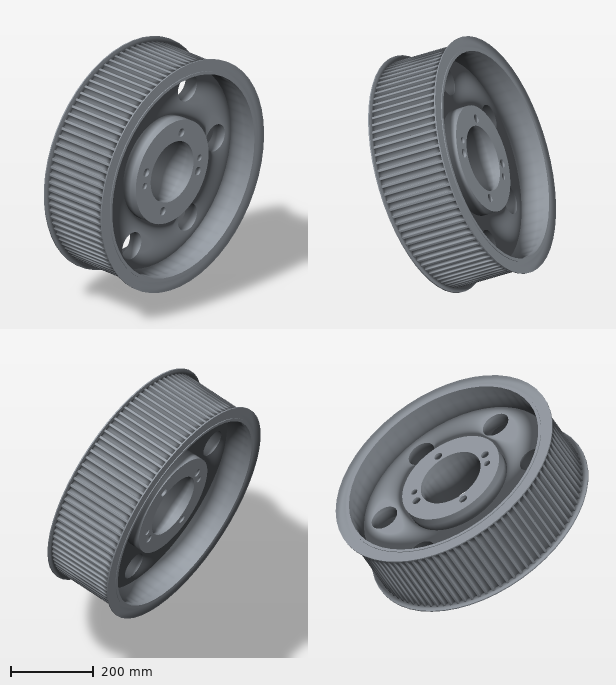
import cadquery as cq
import math

rim_width = 190.5
flange_radius = 297.5

flange_thickness = 3.0
flange_inset = 2.0
flange_seat_radius = 268.0

tooth_count = 90
tooth_tip_radius = 284.5
groove_radius = 6.5
groove_depth = 9.0
tip_corner_radius = 1.0
rim_inner_radius = 260.0

web_thickness = 37.0
hub_length = 118.0
hub_radius = 133.0

bore_large_radius = 82.0
bore_small_radius = 78.5

lightening_count = 6
lightening_radius = 35.0
lightening_circle = 203.5

hub_hole_circle = 100.0
bolt_count = 4
bolt_radius = 11.0
bolt_start_angle = -20.0
jack_count = 2
jack_radius = 8.5


def disc(radius, length, center_x=0.0):
    """Solid cylinder along X, centred at center_x."""
    return cq.Workplane("YZ", origin=(center_x - length / 2, 0, 0)).circle(radius).extrude(length)


def hole_ring(count, radius, circle_radius, length, start_angle=0.0):
    """Cylinders along X, evenly spaced on a circle."""
    return (
        cq.Workplane("YZ", origin=(-length / 2, 0, 0))
        .polarArray(circle_radius, start_angle, 360, count)
        .circle(radius)
        .extrude(length)
    )


def polar(radius, angle):
    """Y and Z of a point at the given radius and angle in radians."""
    return (radius * math.cos(angle), radius * math.sin(angle))


def toothed_disc(length):
    """Disc with a round-bottomed groove between teeth whose tip corners are rounded."""
    pitch_angle = 2 * math.pi / tooth_count
    root_radius = tooth_tip_radius - groove_depth
    groove_center = root_radius + groove_radius
    corner_center = tooth_tip_radius - tip_corner_radius
    center_gap = groove_radius + tip_corner_radius

    corner_angle = math.acos(
        (groove_center**2 + corner_center**2 - center_gap**2) / (2 * groove_center * corner_center)
    )
    turn = math.acos(
        (groove_center**2 - corner_center**2 - center_gap**2) / (2 * corner_center * center_gap)
    )

    def corner_point(middle, side, fraction):
        """Point on a corner arc: fraction 0 on the tip circle, 1 on the groove arc."""
        center_angle = middle + side * corner_angle
        center_y, center_z = polar(corner_center, center_angle)
        step_y, step_z = polar(tip_corner_radius, center_angle - side * turn * fraction)
        return (center_y + step_y, center_z + step_z)

    outline = cq.Workplane("YZ", origin=(-length / 2, 0, 0)).moveTo(*corner_point(0, -1, 0))
    for index in range(tooth_count):
        middle = index * pitch_angle
        outline = (
            outline.threePointArc(corner_point(middle, -1, 0.5), corner_point(middle, -1, 1))
            .threePointArc(polar(root_radius, middle), corner_point(middle, 1, 1))
            .threePointArc(corner_point(middle, 1, 0.5), corner_point(middle, 1, 0))
            .threePointArc(
                polar(tooth_tip_radius, middle + pitch_angle / 2),
                corner_point(middle + pitch_angle, -1, 0),
            )
        )
    return outline.close().extrude(length)


def tapered_bore():
    """Cone through the hub, narrowing towards +X."""
    return (
        cq.Workplane("YZ", origin=(-hub_length / 2, 0, 0))
        .circle(bore_large_radius)
        .workplane(offset=hub_length)
        .circle(bore_small_radius)
        .loft()
    )


flange_x = rim_width / 2 - flange_inset - flange_thickness / 2
result = toothed_disc(2 * flange_x)
result = result.union(disc(flange_seat_radius, rim_width))
for side in (-1, 1):
    result = result.union(disc(flange_radius, flange_thickness, side * flange_x))

pocket_depth = (rim_width - web_thickness) / 2
pocket_x = (rim_width - pocket_depth) / 2
for side in (-1, 1):
    result = result.cut(disc(rim_inner_radius, pocket_depth, side * pocket_x))

result = result.union(disc(hub_radius, hub_length))
result = result.cut(tapered_bore())
result = result.cut(hole_ring(lightening_count, lightening_radius, lightening_circle, web_thickness))
result = result.cut(hole_ring(bolt_count, bolt_radius, hub_hole_circle, hub_length, bolt_start_angle))
result = result.cut(hole_ring(jack_count, jack_radius, hub_hole_circle, hub_length))